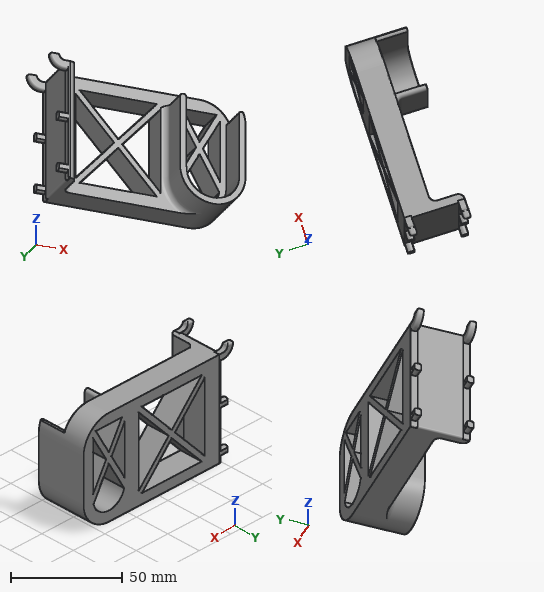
import cadquery as cq
import math

overall_length = 95.4
depth = 28.6
height = 57.8
back_thickness = 4.0
arm_thickness = 13.55
corner_radius = 3.1
bottom_edge_radius = 1.0
arm_front = depth - arm_thickness

cradle_outer_radius = 16.0
cradle_wall = 3.1
cradle_inner_radius = cradle_outer_radius - cradle_wall
cradle_x = 70.9
cradle_z = cradle_outer_radius
arm_end = cradle_x + cradle_outer_radius
right_wall_top = 48.0
tip_radius = cradle_wall / 2
right_tip_offset = 1.1
root_fillet = 3.0

frame_margin = 6.0
brace_width = 3.0
frame_window_left = back_thickness + 2 * corner_radius
frame_window_right = cradle_x - cradle_outer_radius - root_fillet
window_top = height - frame_margin
cradle_window_radius = cradle_outer_radius - frame_margin
left_wall_top = window_top

peg_pitch = 25.4
peg_diameter = 4.0
peg_length = 4.5
strip_width = depth - peg_pitch
strip_thickness = back_thickness - corner_radius
hook_height = 4.1
hook_inner_bend = 3.0
hook_outer_bend = hook_inner_bend + hook_height
hook_edge_radius = 1.0
hook_bend_reach = hook_edge_radius + math.sqrt((hook_outer_bend - hook_edge_radius) ** 2 - hook_edge_radius**2)
hook_straight = overall_length - arm_end - hook_bend_reach
upper_peg_z = 30.4
strip_positions = (0, peg_pitch)


def block(x0, x1, y0, y1, z0, z1):
    """Axis-aligned box between two corners."""
    return cq.Workplane("XY").box(x1 - x0, y1 - y0, z1 - z0, centered=False).translate((x0, y0, z0))


def extrude_back(sketch, y0, y1):
    """Extrude an XZ sketch from y0 to y1."""
    return sketch.extrude(y0 - y1).translate((0, y0, 0))


def side_profile():
    """Outline of the arm seen along Y, rounded at both cradle-end corners."""
    radius = cradle_outer_radius
    diagonal = radius * math.sqrt(0.5)
    upper_z = height - radius
    return (
        cq.Workplane("XZ")
        .moveTo(0, 0)
        .lineTo(cradle_x, 0)
        .threePointArc((cradle_x + diagonal, cradle_z - diagonal), (arm_end, cradle_z))
        .lineTo(arm_end, upper_z)
        .threePointArc((cradle_x + diagonal, upper_z + diagonal), (cradle_x, height))
        .lineTo(0, height)
        .close()
    )


def plates():
    """L-shaped back plate and arm with rounded inner and outer corners."""
    silhouette = extrude_back(side_profile(), 0, depth)
    plan = (
        cq.Workplane("XY")
        .polyline([
            (0, 0),
            (back_thickness, 0),
            (back_thickness, arm_front),
            (arm_end, arm_front),
            (arm_end, depth),
            (0, depth),
        ])
        .close()
        .extrude(height)
    )
    for corner_y in (0, arm_front):
        corner = cq.selectors.NearestToPointSelector((back_thickness, corner_y, height / 2))
        plan = plan.edges(corner).fillet(corner_radius)
    return plan.intersect(silhouette)


def braces(x0, x1, z0, z1):
    """Pair of crossing diagonal bars between the corners of a rectangle."""
    angle = math.degrees(math.atan2(z1 - z0, x1 - x0))
    length = math.hypot(x1 - x0, z1 - z0) + 2 * brace_width
    centre = ((x0 + x1) / 2, (arm_front + depth) / 2, (z0 + z1) / 2)
    bar = cq.Workplane("XY").box(length, arm_thickness, brace_width)
    rising = bar.rotate((0, 0, 0), (0, 1, 0), -angle).translate(centre)
    falling = bar.rotate((0, 0, 0), (0, 1, 0), angle).translate(centre)
    return rising.union(falling)


def frame_window():
    """Cutter for the rectangular window, leaving its braces."""
    opening = block(frame_window_left, frame_window_right, arm_front, depth, frame_margin, window_top)
    return opening.cut(braces(frame_window_left, frame_window_right, frame_margin, window_top))


def cradle_window():
    """Cutter for the round-bottomed window inside the cradle, leaving its braces."""
    left = cradle_x - cradle_window_radius
    right = cradle_x + cradle_window_radius
    opening = extrude_back(
        cq.Workplane("XZ")
        .moveTo(left, window_top)
        .lineTo(left, cradle_z)
        .threePointArc((cradle_x, cradle_z - cradle_window_radius), (right, cradle_z))
        .lineTo(right, window_top)
        .close(),
        arm_front,
        depth,
    )
    return opening.cut(braces(left, right, cradle_z, window_top))


def root_profile():
    """Concave root fillet section on the left of the cradle wall, at the cradle centre height."""
    wall_x = cradle_x - cradle_outer_radius
    wall_middle_x = wall_x + cradle_wall / 2
    reach = root_fillet * (1 - math.sqrt(0.5))
    return (
        cq.Workplane("XY", origin=(0, 0, cradle_z))
        .moveTo(wall_x - root_fillet, arm_front)
        .threePointArc((wall_x - reach, arm_front - reach), (wall_x, arm_front - root_fillet))
        .lineTo(wall_middle_x, arm_front - root_fillet)
        .lineTo(wall_middle_x, arm_front)
        .close()
    )


def left_wall():
    """Straight left wall with a full-round top and a root fillet that rounds over with it."""
    left = cradle_x - cradle_outer_radius
    right = left + cradle_wall
    shoulder = left_wall_top - tip_radius
    wall = extrude_back(
        cq.Workplane("XZ")
        .moveTo(left, cradle_z)
        .lineTo(left, shoulder)
        .threePointArc((left + tip_radius, left_wall_top), (right, shoulder))
        .lineTo(right, cradle_z)
        .close(),
        0,
        arm_front,
    )
    root = root_profile().extrude(left_wall_top - cradle_z)
    root = root.faces(">Z").edges("%CIRCLE").fillet(tip_radius)
    return wall.union(root)


def right_wall():
    """Straight right wall, shorter, with a round top trimmed by the inner face and the arm outline."""
    inner_x = cradle_x + cradle_inner_radius
    tip_x = inner_x + right_tip_offset
    tip_z = right_wall_top - tip_radius
    wall = block(inner_x, arm_end, 0, arm_front, cradle_z, tip_z)
    tip = extrude_back(cq.Workplane("XZ").center(tip_x, tip_z).circle(tip_radius), 0, arm_front)
    tip = tip.intersect(block(inner_x, arm_end, 0, arm_front, tip_z, right_wall_top))
    return wall.union(tip).intersect(extrude_back(side_profile(), 0, depth))


def cradle_bottom():
    """Half-round bottom of the cradle with the root fillet following its left side."""
    ring = extrude_back(
        cq.Workplane("XZ")
        .center(cradle_x, cradle_z)
        .circle(cradle_outer_radius)
        .circle(cradle_inner_radius),
        0,
        arm_front,
    )
    lower = block(0, arm_end, 0, arm_front, 0, cradle_z)
    root = root_profile().revolve(90, (cradle_x, 0, 0), (cradle_x, -1, 0))
    return ring.union(root).intersect(lower)


def make_peg(y_mid, z):
    """Straight round peg with its sides flattened to the strip width."""
    peg = cq.Workplane("YZ").center(y_mid, z).circle(peg_diameter / 2).extrude(-peg_length)
    flats = cq.Workplane("XY").box(2 * peg_length, strip_width, peg_diameter).translate((0, y_mid, z))
    return peg.intersect(flats)


def make_hook(y_mid):
    """Bar that turns upward through a quarter bend, rounded along its outer edges and at its tip."""
    bend_z = height + hook_inner_bend
    inner_diagonal = hook_inner_bend * math.sqrt(0.5)
    outer_diagonal = hook_outer_bend * math.sqrt(0.5)
    bar = (
        cq.Workplane("XZ")
        .moveTo(0, height)
        .lineTo(-hook_straight, height)
        .threePointArc(
            (-hook_straight - inner_diagonal, bend_z - inner_diagonal),
            (-hook_straight - hook_inner_bend, bend_z),
        )
        .lineTo(-hook_straight - hook_outer_bend, bend_z)
        .threePointArc(
            (-hook_straight - outer_diagonal, bend_z - outer_diagonal),
            (-hook_straight, height - hook_height),
        )
        .lineTo(0, height - hook_height)
        .close()
    )
    hook = extrude_back(bar, y_mid - strip_width / 2, y_mid + strip_width / 2)
    underside = hook.faces("<Z").edges("|X")
    return underside.fillet(hook_edge_radius).faces(">Z").edges().fillet(hook_edge_radius)


def rounded_back():
    """Envelope of the bracket with its lower wall-side edge rounded."""
    envelope = block(0, arm_end, 0, depth, 0, height)
    return envelope.edges("<X and <Z").fillet(bottom_edge_radius)


def make_strip(y0):
    """Mounting strip with a hook at the top and two pegs, its near side at y0."""
    y_mid = y0 + strip_width / 2
    strip = block(0, strip_thickness, y0, y0 + strip_width, 0, height)
    strip = strip.intersect(rounded_back())
    strip = strip.union(make_hook(y_mid))
    for z in (upper_peg_z, upper_peg_z - peg_pitch):
        strip = strip.union(make_peg(y_mid, z))
    return strip


def make_bracket():
    """Back plate, braced arm and cradle, recessed for the mounting strips."""
    bracket = plates().union(left_wall()).union(right_wall()).union(cradle_bottom())
    bracket = bracket.cut(frame_window()).cut(cradle_window()).intersect(rounded_back())
    for y0 in strip_positions:
        bracket = bracket.cut(block(0, strip_thickness, y0, y0 + strip_width, 0, height))
    return bracket


bracket = make_bracket()
strips = [make_strip(y0) for y0 in strip_positions]
result = cq.Compound.makeCompound([bracket.val(), *[strip.val() for strip in strips]])